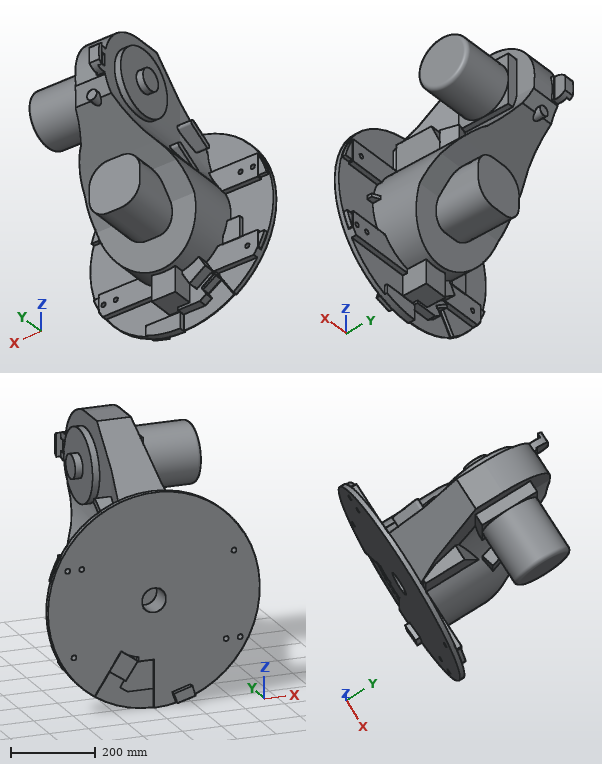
import cadquery as cq
import math

disc_radius = 270.0
disc_thickness = 13.0
disc_front = -disc_thickness
bore_radius = 30.5
bore_depth = 60.0

bar_heights = (100.0, -119.0)
bar_half_length = 234.0
bar_width = 67.0
bar_thickness = 14.5
tab_width = 55.0
tab_thickness = 11.0
tab_radius = 268.0
mount_hole_diameter = 12.5
outer_hole_x = 220.0
inner_hole_x = 184.0
single_hole_x = 204.0

drum_radius = 145.0
scroll_radius = 133.0
motor_y = 264.6
motor_z = 260.0
housing_top = motor_z + scroll_radius
housing_back = motor_y + scroll_radius
wall_left = -66.0
wall_right = 20.6
roof_edge_y = 189.0
roof_front_z = 206.0

motor_radius = 77.0
flange_right = 51.0
motor_right = 202.5
motor_edge_radius = 10.8
cover_radius = 93.3
cover_left = -84.0
hub_radius = 30.7
hub_left = -103.5

duct_back = 268.4
duct_height = 149.5
duct_corner_radius = 56.5
duct_center_z = 1.0

fin_left = -106.6
fin_radius = 7.5
fin_angle = -30.0


def box(x_range, y_range, z_range):
    """Axis-aligned box from its limits."""
    return (
        cq.Workplane("XY")
        .box(
            x_range[1] - x_range[0],
            y_range[1] - y_range[0],
            z_range[1] - z_range[0],
            centered=False,
        )
        .translate((x_range[0], y_range[0], z_range[0]))
    )


def along_y(y_start):
    """Sketch plane with local axes X and Z; a negative extrusion runs toward +Y."""
    return cq.Workplane("XZ", origin=(0, y_start, 0))


def along_x(x_start):
    """Sketch plane with local axes Y and Z; a positive extrusion runs toward +X."""
    return cq.Workplane("YZ", origin=(x_start, 0, 0))


def prism_y(points, y_start, y_end):
    """Polygon of (x, z) points extruded from y_start to y_end."""
    return along_y(y_start).polyline(points).close().extrude(y_start - y_end)


def cylinder_y(radius, y_start, y_end, x=0.0, z=0.0):
    return along_y(y_start).center(x, z).circle(radius).extrude(y_start - y_end)


def cylinder_x(radius, x_start, x_end, y, z):
    return along_x(x_start).center(y, z).circle(radius).extrude(x_end - x_start)


def make_housing():
    """Blower housing: side profile crossed with a front profile that widens into the drum."""
    side_profile = (
        along_x(-drum_radius)
        .moveTo(0, -drum_radius)
        .lineTo(85.5, -drum_radius)
        .lineTo(145, -14)
        .lineTo(203.5, 52.5)
        .lineTo(252, 88.7)
        .lineTo(374, 177)
        .lineTo(housing_back - 1.5, 220)
        .lineTo(housing_back, motor_z)
        .radiusArc((motor_y, housing_top), -scroll_radius)
        .lineTo(roof_edge_y, housing_top)
        .lineTo(0, roof_front_z)
        .close()
        .extrude(2 * drum_radius)
    )
    left_tangent_z = 74.0
    left_tangent_x = -math.sqrt(drum_radius**2 - left_tangent_z**2)
    right_edge_x = 75.0
    right_edge_z = math.sqrt(drum_radius**2 - right_edge_x**2)
    front_profile = (
        along_y(0)
        .moveTo(wall_left, housing_top)
        .lineTo(wall_right, housing_top)
        .lineTo(wall_right, 225)
        .threePointArc((42, 168), (right_edge_x, right_edge_z))
        .threePointArc((0, -drum_radius), (left_tangent_x, left_tangent_z))
        .lineTo(-113, 89)
        .threePointArc((-77, 145), (wall_left, 217))
        .close()
        .extrude(-housing_back)
    )
    right_taper = (
        cq.Workplane("XY")
        .polyline([(wall_right, roof_edge_y), (48, 57), (70, 0), (wall_right, 0)])
        .close()
        .extrude(housing_top)
    )
    front_profile = front_profile.union(right_taper).union(make_left_taper())
    return side_profile.intersect(front_profile).union(make_shoulder(right_edge_x))


def make_left_taper():
    """Left wall leaning outward from its bend line to the disc."""
    bend_y = 96.0
    lean = 10.0
    inner_x = -50.0
    return (
        along_y(bend_y)
        .moveTo(inner_x, housing_top)
        .lineTo(wall_left, housing_top)
        .lineTo(wall_left, 217)
        .threePointArc((-77, 145), (-113, 89))
        .lineTo(inner_x, 74)
        .close()
        .workplane(offset=bend_y)
        .moveTo(inner_x, housing_top)
        .lineTo(wall_left - lean, housing_top)
        .lineTo(wall_left - lean, 217)
        .threePointArc((-88, 145), (-117, 86))
        .lineTo(inner_x, 74)
        .close()
        .loft(ruled=True, combine=True)
    )


def make_shoulder(right_x):
    """Flat-topped block in the corner between the drum and the right wall."""
    top_z = 214.0
    outline = [(14, 100), (14, top_z), (123, top_z), (173, 100)]
    return along_x(wall_right).polyline(outline).close().extrude(right_x - wall_right)


def make_motor():
    flange = box(
        (wall_right, flange_right),
        (motor_y - motor_radius, motor_y + motor_radius),
        (motor_z - motor_radius, motor_z + motor_radius),
    )
    body = cylinder_x(motor_radius, flange_right, motor_right, motor_y, motor_z)
    body = body.faces(">X").edges().fillet(motor_edge_radius)
    return flange.union(body)


def make_cover():
    cover = cylinder_x(cover_radius, cover_left, wall_left, motor_y, motor_z)
    hub = cylinder_x(hub_radius, hub_left, cover_left, motor_y, motor_z)
    return cover.union(hub)


def make_duct():
    duct = box(
        (-duct_height / 2, duct_height / 2),
        (0, duct_back),
        (duct_center_z - duct_height / 2, duct_center_z + duct_height / 2),
    )
    return duct.edges("|Y").fillet(duct_corner_radius)


def make_fin(upper_y, upper_z, length):
    """Round-ended fin standing off the left wall, sloping down toward the disc."""
    right_x = wall_left + 20
    fin = (
        along_x(fin_left)
        .center(-length / 2, 0)
        .slot2D(length + 2 * fin_radius, 2 * fin_radius)
        .extrude(right_x - fin_left)
    )
    return fin.rotate((0, 0, 0), (1, 0, 0), -fin_angle).translate((0, upper_y, upper_z))


def make_hook():
    """Hook on the back of the scroll: foot, recessed stem and turned-out lip."""
    stem_right = -48.0
    lip_left = -77.0
    back_y = 435.7
    lip_front = 424.0
    foot_y = 380.0
    half_height = 35.0
    outline = (
        along_x(lip_left)
        .moveTo(foot_y, motor_z - half_height)
        .lineTo(402, motor_z - half_height)
        .threePointArc((422.6, motor_z - 31), (434, motor_z - 22))
        .threePointArc((back_y, motor_z), (434, motor_z + 22))
        .threePointArc((422.6, motor_z + 31), (402, motor_z + half_height))
        .lineTo(foot_y, motor_z + half_height)
        .close()
        .extrude(stem_right - lip_left)
    )
    z_limits = (motor_z - half_height, motor_z + half_height)
    beside_stem = (motor_z - 2 * half_height, motor_z + 2 * half_height)
    outline = outline.cut(box((lip_left, wall_left), (foot_y, lip_front), beside_stem))
    recess_depth = 6.0
    recess_half_height = 16.0
    recess = box(
        (wall_left, wall_left + recess_depth),
        (housing_back, lip_front),
        (motor_z - recess_half_height, motor_z + recess_half_height),
    )
    foot = box((stem_right, stem_right + 4), (foot_y, 402), z_limits)
    return outline.cut(recess).union(foot)


def make_rear_pin():
    return cylinder_y(14.5, 300, 390, x=(wall_left + wall_right) / 2, z=181.5)


def make_sensor_box():
    """Small turned box standing on the drum below the motor."""
    block = box((0, 34), (0, 50), (90, 150))
    return block.rotate((0, 0, 0), (0, 0, 1), 15).translate((78, 171, 0))


def make_gusset():
    """Small sloped rib between the right of the drum and the disc."""
    outline = [(140, 0), (140, 26), (drum_radius, 24), (166, 14), (166, 0)]
    thickness = 10.0
    return cq.Workplane("XY").polyline(outline).close().extrude(thickness)


def make_side_lug():
    """Flat lug on the disc at the left of the drum."""
    return box((-180, -130), (0, 13), (-92, -23))


def make_bar(z):
    """Mounting bar with a narrower, thinner tab reaching the disc edge at both ends."""
    half = bar_width / 2
    bar = box((-bar_half_length, bar_half_length), (0, bar_thickness), (z - half, z + half))
    bar = bar.intersect(cylinder_y(disc_radius, 0, bar_thickness))
    half_tab = tab_width / 2
    tabs = box((-disc_radius, disc_radius), (0, tab_thickness), (z - half_tab, z + half_tab))
    return bar.union(tabs.intersect(cylinder_y(tab_radius, 0, tab_thickness)))


def cut_mount_holes(body):
    upper_z, lower_z = bar_heights
    upper = [(x, upper_z) for x in (-outer_hole_x, -inner_hole_x, single_hole_x)]
    lower = [(x, lower_z) for x in (outer_hole_x, inner_hole_x, -single_hole_x)]
    holes = (
        along_y(disc_front)
        .pushPoints(upper + lower)
        .circle(mount_hole_diameter / 2)
        .extrude(-disc_thickness - bar_thickness)
    )
    return body.cut(holes)


latch_top = (-83.0, -118.0)
latch_right = (-39.5, -149.0)
latch_bottom = (-70.0, -195.0)
latch_left = (-111.5, -167.0)
opening_rim = (-175.0, -260.0)
sheet_front = -9.0
sheet_thickness = 2.0


def make_opening():
    outline = [
        latch_top,
        (-69, -128),
        (latch_right[0], -138.5),
        latch_right,
        (0, latch_right[1]),
        (0, -disc_radius - 1),
        (opening_rim[0], -disc_radius - 1),
        opening_rim,
    ]
    return prism_y(outline, disc_front, 0)


def make_door():
    """Thin sheet set back in the opening, the latch box behind it and the frame."""
    sheet_outline = [
        latch_left,
        latch_bottom,
        latch_right,
        (0, latch_right[1]),
        (0, -disc_radius),
        (opening_rim[0] + 3, -disc_radius),
        (opening_rim[0] + 3, opening_rim[1]),
    ]
    sheet_back = sheet_front + sheet_thickness
    sheet = prism_y(sheet_outline, sheet_front, sheet_back)
    sheet = sheet.intersect(cylinder_y(disc_radius, sheet_front, sheet_back))
    latch_neck = prism_y(
        [latch_top, latch_right, latch_bottom, latch_left], sheet_front + 0.5, bar_thickness
    )
    latch_box = prism_y(
        [(-77, -108), (-30, -141), (-56, -185), (-102.5, -151.5)], bar_thickness, 45
    )
    frame_outline = [(-111.5, -157), (-70, -187), (-84, -210), (-65, -223), (0, -223), (0, -149)]
    frame = prism_y(frame_outline, sheet_back, 16)
    chute = box((-35, 35), (0, 73), (-215, -130))
    return sheet.union(latch_neck).union(latch_box).union(frame).union(chute)


def make_edge_clip():
    """Clip over the lower disc edge: front pad and a backing block behind the disc."""
    pad_outline = [(46, -236), (93, -222), (101, -248), (55, -261)]
    pad = prism_y(pad_outline, disc_front - 13, disc_front)
    backing = box((0, 101), (0, 7), (-disc_radius, -223))
    return pad.union(backing.intersect(cylinder_y(disc_radius, 0, 7)))


result = cylinder_y(disc_radius, disc_front, 0).cut(make_opening())
for bar_z in bar_heights:
    result = result.union(make_bar(bar_z))
features = (
    make_housing(),
    make_motor(),
    make_cover(),
    make_duct(),
    make_fin(99.6, 224.5, 66),
    make_fin(150.4, 133.7, 76),
    make_hook(),
    make_rear_pin(),
    make_sensor_box(),
    make_gusset(),
    make_side_lug(),
    make_door(),
    make_edge_clip(),
)
for feature in features:
    result = result.union(feature)
result = cut_mount_holes(result)
result = result.cut(cylinder_y(bore_radius, disc_front, disc_front + bore_depth))